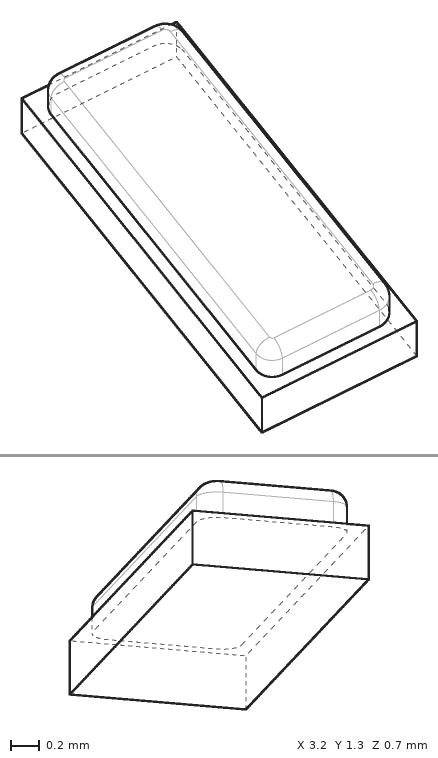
import cadquery as cq

base_length = 3.2
base_width = 1.3
base_height = 0.4

lid_margin = 0.1
lid_height = 0.3
lid_front_corner_radius = 0.135
lid_rear_corner_radius = 0.155
lid_top_radius = 0.112

lid_length = base_length - 2 * lid_margin
lid_width = base_width - 2 * lid_margin


def make_base():
    return cq.Workplane("XY").box(base_length, base_width, base_height, centered=(True, True, False))


def make_lid():
    """Lid with rounded vertical corners and a rounded top rim."""
    return (
        cq.Workplane("XY")
        .workplane(offset=base_height)
        .rect(lid_length, lid_width)
        .extrude(lid_height)
        .edges("|Z and <Y")
        .fillet(lid_front_corner_radius)
        .edges("|Z and >Y")
        .fillet(lid_rear_corner_radius)
        .faces(">Z")
        .edges()
        .fillet(lid_top_radius)
    )


result = make_base().union(make_lid())